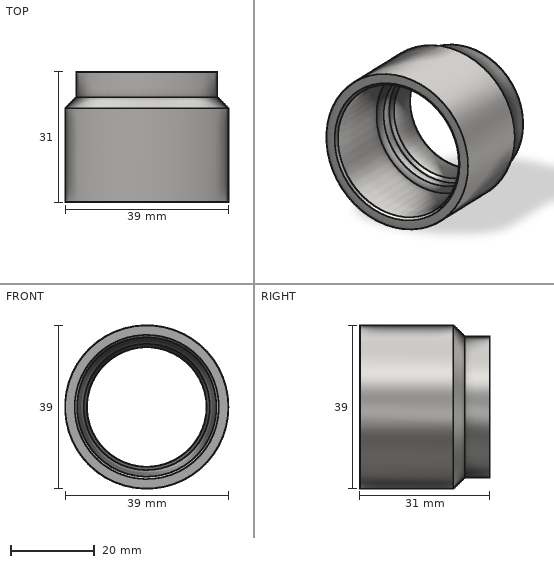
import cadquery as cq

body_diameter = 39.0
neck_diameter = 33.7
total_length = 31.0
neck_length = 6.0
taper_length = 2.7

mouth_diameter = 34.4
socket_diameter = 33.23
throat_diameter = 30.1
bore_diameter = 28.47
mouth_chamfer_length = 0.6
socket_depth = 18.95
shoulder_length = 0.78
throat_length = 2.65
throat_taper_length = (throat_diameter - bore_diameter) / 2

neck_start = total_length - neck_length
taper_start = neck_start - taper_length
throat_start = socket_depth + shoulder_length
throat_end = throat_start + throat_length
bore_start = throat_end + throat_taper_length

wall_section = [
    (body_diameter / 2, 0),
    (body_diameter / 2, taper_start),
    (neck_diameter / 2, neck_start),
    (neck_diameter / 2, total_length),
    (bore_diameter / 2, total_length),
    (bore_diameter / 2, bore_start),
    (throat_diameter / 2, throat_end),
    (throat_diameter / 2, throat_start),
    (socket_diameter / 2, socket_depth),
    (socket_diameter / 2, mouth_chamfer_length),
    (mouth_diameter / 2, 0),
]

result = cq.Workplane("XY").polyline(wall_section).close().revolve(360, (0, 0, 0), (0, 1, 0))